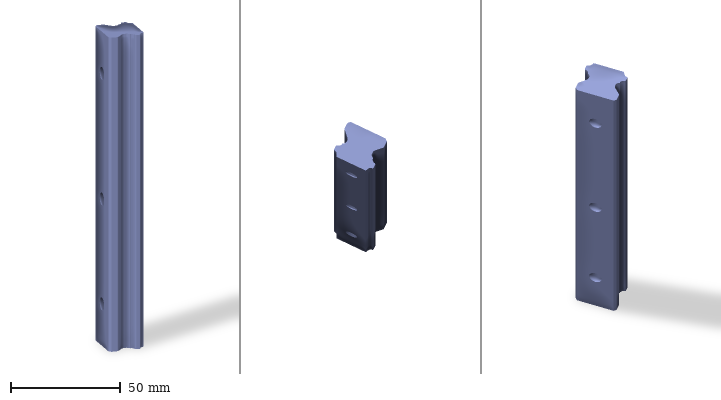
import cadquery as cq

length = 150.0
width = 20.0
height = 17.5
half_width = width / 2

foot_chamfer = 1.0
foot_side_top = 4.2
waist_half_width = 6.5
shoulder_top = foot_side_top + half_width - waist_half_width

shoulder_radius = 0.9
waist_lower_radius = 1.8
waist_upper_radius = 1.2

waist_top = 9.9
ledge_half_width = 7.8
ledge_bottom = 10.8
ledge_top = 11.2

lip_half_width = 9.3
lip_bottom = 12.6
lip_top = 15.3
lip_radius = 0.6
lower_groove_middle = (8.4, 12.2)
upper_groove_middle = (8.4, 15.8)

top_half_width = 7.4
top_chamfer_half_width = 7.8
top_chamfer_bottom = 16.6

hole_diameter = 6.0
hole_heights = (20.0, 70.0, 130.0)


def round_edge(body, x, y, radius):
    """Fillet the lengthwise edge that runs through (x, y)."""
    edge_middle = (x, y, length / 2)
    return body.edges(cq.NearestToPointSelector(edge_middle)).fillet(radius)


def make_rail():
    """Extrude one half of the cross-section and mirror it about the YZ plane."""
    half = (
        cq.Workplane("XY")
        .moveTo(0, 0)
        .lineTo(half_width - foot_chamfer, 0)
        .lineTo(half_width, foot_chamfer)
        .lineTo(half_width, foot_side_top)
        .lineTo(waist_half_width, shoulder_top)
        .lineTo(waist_half_width, waist_top)
        .lineTo(ledge_half_width, ledge_bottom)
        .lineTo(ledge_half_width, ledge_top)
        .threePointArc(lower_groove_middle, (lip_half_width, lip_bottom))
        .lineTo(half_width, lip_bottom)
        .lineTo(half_width, lip_top)
        .lineTo(lip_half_width, lip_top)
        .threePointArc(upper_groove_middle, (top_chamfer_half_width, top_chamfer_bottom))
        .lineTo(top_half_width, height)
        .lineTo(0, height)
        .close()
        .extrude(length)
    )
    half = round_edge(half, half_width, foot_side_top, shoulder_radius)
    half = round_edge(half, waist_half_width, shoulder_top, waist_lower_radius)
    half = round_edge(half, waist_half_width, waist_top, waist_upper_radius)
    half = round_edge(half, half_width, lip_bottom, lip_radius)
    half = round_edge(half, half_width, lip_top, lip_radius)
    return half.union(half.mirror("YZ")).clean()


def make_hole(z):
    """Make a cutter through the full rail height, centred across its width."""
    return (
        cq.Workplane("XZ")
        .center(0, z)
        .circle(hole_diameter / 2)
        .extrude(-height)
    )


result = make_rail()
for hole_height in hole_heights:
    result = result.cut(make_hole(hole_height))